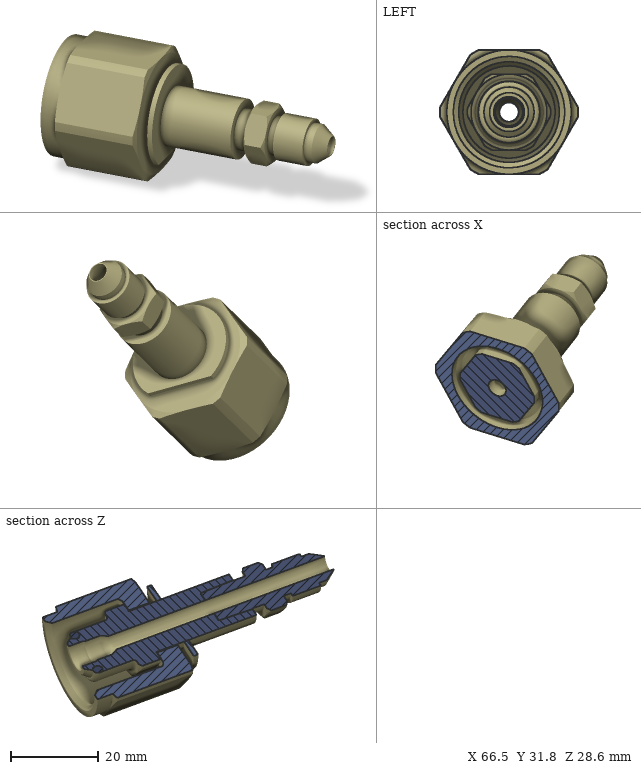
import cadquery as cq
import math


nut_length = 24.1
nut_flats = 28.55
nut_corner_diameter = 31.75
collar_length = 3.85
nut_corner_chamfer = 0.4
mouth_diameter = 25.55
thread_bore_diameter = 23.1
floor_diameter = 21.15
floor_x = 18.6
shank_hole = 14.5

shank_diameter = 14.25
shank_end_x = 44.4
nose_x = 1.45
nose_tip_diameter = 8.9
nose_base_diameter = 11.5
shoulder_diameter = 14.05
head_flats = 17.4
head_corner_diameter = 19.1
head_length = 5.3
head_corner_chamfer = 0.5
shoulder_fillet = 0.8
gas_bore = 4.4
entry_bore = 6.8
entry_chamfer = 0.1
entry_depth = 3.7
inner_bore = 6.3
inner_bore_end_x = 9.3
bore_cone_length = 1.65

ring_diameter = 14.2
ring_section = 2.2
ring_centre_diameter = ring_diameter - ring_section
ring_x = 4.2
ring_seat_depth = 0.25

washer_diameter = 24.2
washer_flat_distance = 8.9
washer_x = 25.75
washer_thickness = 1.2

fitting_end_x = 66.5
root_diameter = 9.85
root_taper_ratio = 1 / 16
root_small_diameter = 9.25
taper_end_x = 45.5
root_start_x = taper_end_x - (root_diameter - root_small_diameter) / root_taper_ratio
fitting_hex_x = 47.4
fitting_hex_length = 5.25
fitting_flats = 12.8
fitting_hex_chamfer = 0.65
neck_diameter = 9.25
flare_thread_x = 54.35
flare_thread_diameter = 11.1
flare_thread_length = 7.3
flare_x = 63.6
flare_tip_diameter = 4.8


def turned(stations):
    """Solid of revolution about X from (x, diameter) stations, closed along the axis."""
    outline = [(x, diameter / 2) for x, diameter in stations]
    points = [(outline[0][0], 0), *outline, (outline[-1][0], 0)]
    return cq.Workplane("XY").polyline(points).close().revolve(360, (0, 0, 0), (1, 0, 0))


def hexagon(x, length, flats):
    """Hexagonal bar along X with two flats facing up and down."""
    corners = flats / math.cos(math.pi / 6)
    return cq.Workplane("YZ", origin=(x, 0, 0)).polygon(6, corners).extrude(length)


def make_nut():
    hexagon_end = nut_length - nut_corner_chamfer
    hexagon_start = collar_length + nut_corner_chamfer
    envelope = turned([
        (collar_length, nut_flats),
        (hexagon_start, nut_corner_diameter),
        (hexagon_end, nut_corner_diameter),
        (nut_length, nut_flats),
    ])
    grip = hexagon(collar_length, nut_length - collar_length, nut_flats).intersect(envelope)
    collar = turned([(0, nut_flats), (collar_length, nut_flats)])
    mouth_chamfer = (mouth_diameter - thread_bore_diameter) / 2
    floor_cone = (thread_bore_diameter - floor_diameter) / 2 * math.tan(math.pi / 6)
    cavity = turned([
        (0, mouth_diameter),
        (mouth_chamfer, thread_bore_diameter),
        (floor_x - floor_cone, thread_bore_diameter),
        (floor_x, floor_diameter),
        (floor_x, shank_hole),
        (nut_length, shank_hole),
    ])
    return grip.union(collar).cut(cavity)


def make_ring():
    return (
        cq.Workplane("XY")
        .center(ring_x, ring_centre_diameter / 2)
        .circle(ring_section / 2)
        .revolve(360, (0, -ring_centre_diameter / 2, 0), (1, -ring_centre_diameter / 2, 0))
    )


def make_fitting_root():
    """Unbored root, which also shapes the matching socket in the shank."""
    return turned([
        (root_start_x, root_small_diameter),
        (taper_end_x, root_diameter),
        (fitting_hex_x, root_diameter),
    ])


def make_nipple(ring, fitting_root):
    head_x = floor_x - head_length
    radial_gap = (ring_centre_diameter - nose_base_diameter) / 2
    nose_base_x = ring_x - math.sqrt((ring_section / 2) ** 2 - radial_gap ** 2)
    shoulder_x = ring_x + ring_seat_depth
    turned_body = turned([
        (nose_x, nose_tip_diameter),
        (nose_base_x, nose_base_diameter),
        (shoulder_x, nose_base_diameter),
        (shoulder_x, shoulder_diameter),
        (head_x, shoulder_diameter),
        (head_x, shank_diameter),
        (shank_end_x, shank_diameter),
    ])
    head = hexagon(head_x, head_length, head_flats).intersect(turned([
        (head_x, head_flats),
        (head_x + head_corner_chamfer, head_corner_diameter),
        (floor_x, head_corner_diameter),
    ]))
    flare = (
        cq.Workplane("XY")
        .moveTo(head_x - shoulder_fillet, shoulder_diameter / 2)
        .radiusArc((head_x, shoulder_diameter / 2 + shoulder_fillet), -shoulder_fillet)
        .lineTo(head_x, 0)
        .lineTo(head_x - shoulder_fillet, 0)
        .close()
        .revolve(360, (0, 0, 0), (1, 0, 0))
    )
    entry_end = nose_x + entry_depth
    ledge_end = entry_end + (entry_bore - inner_bore) / 2
    bore = turned([
        (nose_x, entry_bore + 2 * entry_chamfer),
        (nose_x + entry_chamfer, entry_bore),
        (entry_end, entry_bore),
        (ledge_end, inner_bore),
        (inner_bore_end_x, inner_bore),
        (inner_bore_end_x + bore_cone_length, gas_bore),
        (shank_end_x, gas_bore),
    ])
    return turned_body.union(head).union(flare).cut(bore).cut(ring).cut(fitting_root)


def make_washer():
    radius = washer_diameter / 2
    half_flat = math.sqrt(radius ** 2 - washer_flat_distance ** 2)
    disc = (
        cq.Workplane("YZ", origin=(washer_x, 0, 0))
        .moveTo(half_flat, -washer_flat_distance)
        .threePointArc((0, radius), (-half_flat, -washer_flat_distance))
        .close()
        .extrude(washer_thickness)
    )
    hole = turned([(washer_x, shank_diameter), (washer_x + washer_thickness, shank_diameter)])
    return disc.cut(hole)


def make_fitting(fitting_root):
    hex_end = fitting_hex_x + fitting_hex_length
    corners = fitting_flats / math.cos(math.pi / 6)
    hex_grip = hexagon(fitting_hex_x, fitting_hex_length, fitting_flats).intersect(turned([
        (fitting_hex_x, fitting_flats),
        (fitting_hex_x + fitting_hex_chamfer, corners),
        (hex_end - fitting_hex_chamfer, corners),
        (hex_end, fitting_flats),
    ]))
    flare_thread_end = flare_thread_x + flare_thread_length
    flare_end = turned([
        (hex_end, neck_diameter),
        (flare_thread_x, neck_diameter),
        (flare_thread_x, flare_thread_diameter),
        (flare_thread_end, flare_thread_diameter),
        (flare_thread_end, neck_diameter),
        (flare_x, neck_diameter),
        (fitting_end_x, flare_tip_diameter),
    ])
    bore = turned([(root_start_x, gas_bore), (fitting_end_x, gas_bore)])
    return fitting_root.union(hex_grip).union(flare_end).cut(bore)


ring = make_ring()
fitting_root = make_fitting_root()
nut = make_nut()
nipple = make_nipple(ring, fitting_root)
washer = make_washer()
fitting = make_fitting(fitting_root)

result = cq.Compound.makeCompound([nut.val(), nipple.val(), ring.val(), washer.val(), fitting.val()])